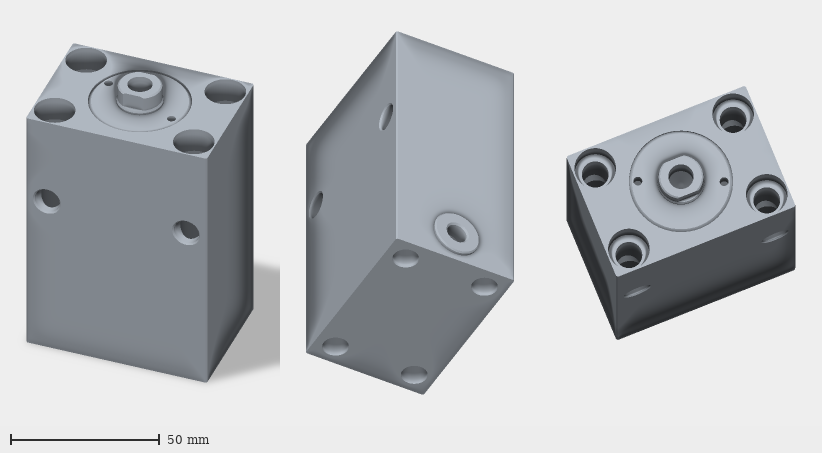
import cadquery as cq
import math

block_length = 65.0
block_width = 45.0
block_height = 94.0
edge_chamfer = 0.5

hole_pitch_x = 50.0
hole_pitch_y = 30.0
hole_diameter = 9.0
counterbore_diameter = 14.0
counterbore_depth = 9.0
cross_hole_height = 61.0
cross_hole_chamfer = 0.5

gland_diameter = 35.0
gland_depth = 15.0
gland_chamfer = 1.0
spanner_hole_diameter = 3.0
spanner_hole_depth = 6.0
spanner_hole_radius = 14.5
spanner_hole_angle = 157.5

rod_diameter = 16.0
rod_projection = 7.0
rod_shoulder_height = 0.8
rod_neck_start = 1.5
rod_neck_diameter = 15.0
rod_flat_width = 13.0
rod_end_chamfer = 0.5
rod_bore_diameter = 8.5
rod_bore_depth = 10.0
drill_point_angle = 118.0

plug_diameter = 17.0
plug_height = 11.0
plug_projection = 1.5
plug_insertion = 8.0
plug_chamfer = 0.5
plug_bore_diameter = 7.3
plug_bore_depth = 6.0
plug_bore_chamfer = 0.6

gland_bottom = block_height - gland_depth
rod_top = block_height + rod_projection
plug_outer_x = -block_length / 2 - plug_projection
plug_length = plug_projection + plug_insertion


def cylinder_z(diameter, bottom, top):
    """Cylinder on the Z axis between two heights."""
    return cq.Workplane("XY").workplane(offset=bottom).circle(diameter / 2).extrude(top - bottom)


def revolve_about_z(points):
    """Solid of revolution about Z from (radius, height) points."""
    return cq.Workplane("XZ").polyline(points).close().revolve(360, (0, 0), (0, 1))


def make_housing():
    block = cq.Workplane("XY").box(block_length, block_width, block_height, centered=(True, True, False))
    block = block.edges("|Z").chamfer(edge_chamfer)
    block = (
        block.faces(">Z").workplane()
        .rarray(hole_pitch_x, hole_pitch_y, 2, 2)
        .cboreHole(hole_diameter, counterbore_diameter, counterbore_depth)
    )
    for side in (-1, 1):
        block = block.cut(make_cross_hole(side * hole_pitch_x / 2))
    block = block.cut(cylinder_z(gland_diameter, gland_bottom, block_height))
    return block.cut(make_plug_recess())


def make_plug_recess():
    """Cutter for the plain round recess that holds the port plug."""
    recess = cq.Workplane("YZ").circle(plug_diameter / 2).extrude(plug_length)
    return recess.translate((plug_outer_x, 0, plug_height))


def make_cross_hole(x):
    """Cutter for a through hole along Y, countersunk at both ends."""
    radius = hole_diameter / 2
    mouth_radius = radius + cross_hole_chamfer
    mouth_y = block_width / 2
    chamfer_y = mouth_y - cross_hole_chamfer
    profile = [
        (0, -mouth_y),
        (mouth_radius, -mouth_y),
        (radius, -chamfer_y),
        (radius, chamfer_y),
        (mouth_radius, mouth_y),
        (0, mouth_y),
    ]
    cutter = cq.Workplane("XY").polyline(profile).close().revolve(360, (0, 0), (0, 1))
    return cutter.translate((x, 0, cross_hole_height))


def make_gland():
    gland = cylinder_z(gland_diameter, gland_bottom, block_height).faces(">Z").chamfer(gland_chamfer)
    gland = gland.cut(cylinder_z(rod_diameter, gland_bottom, block_height))
    spanner_holes = (
        cq.Workplane("XY").workplane(offset=block_height - spanner_hole_depth)
        .polarArray(spanner_hole_radius, spanner_hole_angle, 360, 2)
        .circle(spanner_hole_diameter / 2)
        .extrude(spanner_hole_depth)
    )
    return gland.cut(spanner_holes)


def make_rod():
    neck_radius = rod_neck_diameter / 2
    neck_bottom = block_height + rod_neck_start
    rod = revolve_about_z([
        (0, gland_bottom),
        (rod_diameter / 2, gland_bottom),
        (rod_diameter / 2, block_height + rod_shoulder_height),
        (neck_radius, neck_bottom),
        (neck_radius, rod_top - rod_end_chamfer),
        (neck_radius - rod_end_chamfer, rod_top),
        (0, rod_top),
    ])
    flats_region = cylinder_z(rod_diameter, neck_bottom, rod_top)
    kept_slab = (
        cq.Workplane("XY").workplane(offset=neck_bottom)
        .rect(rod_diameter, rod_flat_width)
        .extrude(rod_top - neck_bottom)
    )
    rod = rod.cut(flats_region.cut(kept_slab))

    bore_radius = rod_bore_diameter / 2
    bore_bottom = rod_top - rod_bore_depth
    point_depth = bore_radius / math.tan(math.radians(drill_point_angle / 2))
    bore = revolve_about_z([
        (0, rod_top),
        (bore_radius, rod_top),
        (bore_radius, bore_bottom),
        (0, bore_bottom - point_depth),
    ])
    return rod.cut(bore)


def make_plug():
    radius = plug_diameter / 2
    bore_radius = plug_bore_diameter / 2
    profile = [
        (plug_bore_depth, 0),
        (plug_bore_depth, bore_radius),
        (plug_bore_chamfer, bore_radius),
        (0, bore_radius + plug_bore_chamfer),
        (0, radius - plug_chamfer),
        (plug_chamfer, radius),
        (plug_length, radius),
        (plug_length, 0),
    ]
    plug = cq.Workplane("XY").polyline(profile).close().revolve(360, (0, 0), (1, 0))
    return plug.translate((plug_outer_x, 0, plug_height))



housing = make_housing()
gland = make_gland()
rod = make_rod()
plug = make_plug()

result = cq.Compound.makeCompound([housing.val(), gland.val(), rod.val(), plug.val()])